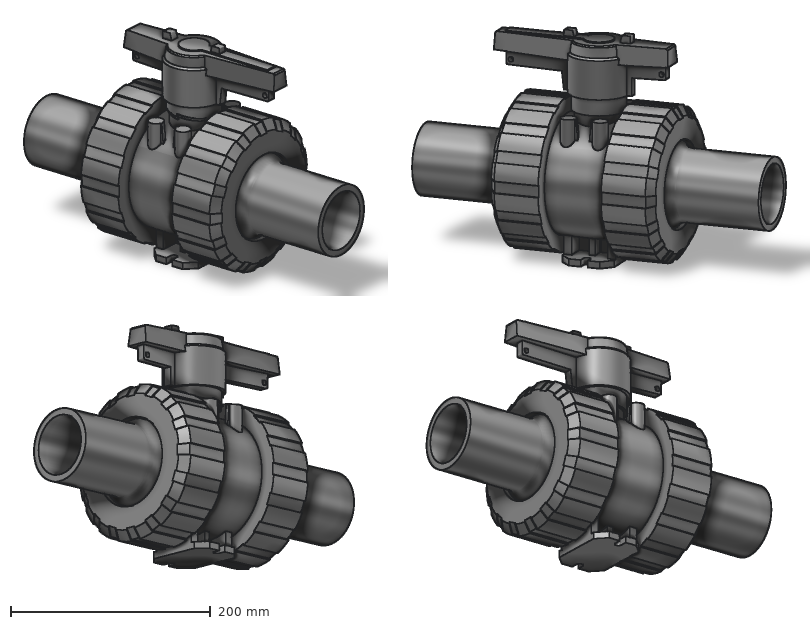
import cadquery as cq
import math


valve_length = 373.0
pipe_radius = 75.0 / 2
bore_radius = 61.5 / 2
collar_radius = 44.8
flare_radius = 16.8
flare_outer_x = 97.5

body_radius = 62.5
body_half_length = 63.5

nut_inner_x = 34.0
nut_outer_x = 88.5
nut_wall = 11.2
nut_ridge_radius = 160.0 / 2
nut_recess_radius = 78.5
nut_hole_radius = 46.0
nut_chamfer_length = 7.0
nut_chamfer_depth = 10.5
ridge_count = 16
recess_angle = 8.8
nut_shoulder_x = nut_outer_x - nut_wall

neck_radius = 25.0
neck_collar_radius = 28.0
neck_lip_radius = 26.5
neck_collar_bottom = 69.8
neck_top = 87.3
ramp_half_width = 24.2
ramp_rise = 3.5

post_radius = 8.2
post_x = 17.0
post_y = 40.0
post_top = 68.5
post_rib_width = 4.0
post_rib_top_reach = 9.0
post_rib_base_reach = 11.0
post_rib_base_z = 46.5

foot_bottom = -84.3
foot_thickness = 7.0
foot_half_x = 28.0
foot_half_y = 40.3
foot_corner = 11.2
foot_slot_width = 7.5
foot_slot_depth = 11.2
foot_top = foot_bottom + foot_thickness
outer_rib_width = 8.5
outer_rib_half_y = 25.5
center_rib_width = 6.5
center_rib_half_y = 18.5
foot_web_half_y = 5.0
foot_boss_radius = 6.53

hub_radius = 31.7
hub_shoulder_z = 127.5
drum_base_radius = 29.5
drum_base_z = 129.8
drum_top_radius = 28.0
drum_edge = 1.5
handle_top = 141.7

arm_bottom = 121.0
arm_end_bottom = 123.0
arm_left_bottom_x = -79.5
arm_left_top_x = -78.0
arm_right_bottom_x = 109.3
arm_right_top_x = 108.5
arm_center_half_width = 18.0
arm_left_half_width = 13.0
arm_right_half_width = 11.0
arm_side_draft = 2.5
arm_end_chamfer = 1.5

fin_thickness = 9.0
fin_left_x = -74.0
fin_right_x = 98.0
fin_end_bottom = 107.5
fin_root_bottom = 106.3
fin_end_round = 2.0
fin_root_left_x = -37.0
fin_root_right_x = 38.5
fin_foot_right_x = 36.0
fin_hole_diameter = 5.2
fin_hole_inset = 5.0
fin_hole_z = 113.0

lug_top = 149.5
lug_outer_x = 35.8
lug_inner_top_x = 26.5
lug_inner_base_x = 24.5
lug_width = 9.7
lug_round = 1.0
pointer_height = 1.3
pointer_disc_radius = 15.5
pointer_width = 13.5
pointer_end_x = 98.0


def cylinder_x(radius, x_start, x_end):
    return cq.Workplane("YZ").workplane(offset=x_start).circle(radius).extrude(x_end - x_start)


def cylinder_z(radius, z_start, z_end):
    return cq.Workplane("XY").workplane(offset=z_start).circle(radius).extrude(z_end - z_start)


def block(x_range, y_range, z_range):
    (x0, x1), (y0, y1), (z0, z1) = x_range, y_range, z_range
    return cq.Workplane("XY").box(x1 - x0, y1 - y0, z1 - z0, centered=False).translate((x0, y0, z0))


def both_ends(solid):
    """The +X part and its mirror image on the -X side."""
    return [solid, solid.mirror("YZ")]




def neck_ramps(core_radius, low_z):
    """Space outside core_radius under two ramps that fall by ramp_rise toward +X, on the -Y side."""
    floor_z = body_radius
    profile = [
        (-ramp_half_width, floor_z),
        (-ramp_half_width, low_z + ramp_rise),
        (0, low_z),
        (0, low_z + ramp_rise),
        (ramp_half_width, low_z),
        (ramp_half_width, floor_z),
    ]
    ramps = cq.Workplane("XZ").polyline(profile).close().extrude(2 * neck_collar_radius)
    core = cylinder_z(core_radius, floor_z, neck_top)
    return ramps.cut(core)


def make_neck():
    neck = cylinder_z(neck_radius, 0, neck_top)
    collar = cylinder_z(neck_collar_radius, neck_collar_bottom, neck_top)
    collar = collar.cut(neck_ramps(neck_lip_radius, neck_collar_bottom + ramp_rise))
    collar = collar.cut(neck_ramps(neck_radius, neck_collar_bottom))
    return neck.union(collar)


def make_post(side_x, side_y):
    """Round post with a small rib on the side that faces the neck."""
    post = cylinder_z(post_radius, 0, post_top).translate((side_x * post_x, side_y * post_y, 0))
    profile = [
        (side_x * post_x, post_top),
        (side_x * (post_x - post_rib_top_reach), post_top),
        (side_x * (post_x - post_rib_base_reach), post_rib_base_z),
        (side_x * post_x, post_rib_base_z),
    ]
    rib = cq.Workplane("XZ").polyline(profile).close().extrude(post_rib_width / 2, both=True)
    rib = rib.translate((0, side_y * post_y, 0))
    return post.union(rib)


def make_foot():
    plate = block((-foot_half_x, foot_half_x), (-foot_half_y, foot_half_y), (foot_bottom, foot_top))
    plate = plate.edges("|Z").chamfer(foot_corner)
    slot_end_y = foot_half_y - foot_slot_depth + foot_slot_width / 2
    slots = (
        cq.Workplane("XY")
        .workplane(offset=foot_bottom)
        .pushPoints([(0, foot_half_y), (0, -foot_half_y)])
        .slot2D(2 * (foot_half_y - slot_end_y) + foot_slot_width, foot_slot_width, 90)
        .extrude(foot_thickness)
    )
    foot = plate.cut(slots)
    rib_z = (foot_top, 0)
    half = center_rib_width / 2
    foot = foot.union(block((-half, half), (-center_rib_half_y, center_rib_half_y), rib_z))
    foot = foot.union(block((-foot_half_x, foot_half_x), (-foot_web_half_y, foot_web_half_y), rib_z))
    outer_rib = block(
        (foot_half_x - outer_rib_width, foot_half_x), (-outer_rib_half_y, outer_rib_half_y), rib_z
    )
    for rib in both_ends(outer_rib):
        foot = foot.union(rib)
    return foot.union(cylinder_z(foot_boss_radius, foot_top, 0))


def make_body():
    body = cylinder_x(body_radius, -body_half_length, body_half_length)
    body = body.union(make_neck()).union(make_foot())
    for side_x in (-1, 1):
        for side_y in (-1, 1):
            body = body.union(make_post(side_x, side_y))
    return body.cut(cylinder_x(bore_radius, -body_half_length, body_half_length))




def nut_ring(outer_radius, start_angle, sweep):
    """Chamfered ring sector around the flow axis, without the inside of the nut."""
    profile = [
        (nut_inner_x, nut_hole_radius),
        (nut_inner_x, outer_radius),
        (nut_outer_x - nut_chamfer_length, outer_radius),
        (nut_outer_x, outer_radius - nut_chamfer_depth),
        (nut_outer_x, nut_hole_radius),
    ]
    ring = cq.Workplane("XY").polyline(profile).close().revolve(sweep, (0, 0, 0), (1, 0, 0))
    return ring.rotate((0, 0, 0), (1, 0, 0), start_angle)


def make_nut():
    """Nut on the +X side, with grip ridges separated by shallow recesses."""
    nut = nut_ring(nut_recess_radius, 0, 360)
    pitch = 360 / ridge_count
    for index in range(ridge_count):
        start_angle = index * pitch + recess_angle / 2
        nut = nut.union(nut_ring(nut_ridge_radius, start_angle, pitch - recess_angle))
    return nut.cut(cylinder_x(body_radius, nut_inner_x, nut_shoulder_x))




def make_pipe_end():
    """Pipe on the +X side with a concave flare, a collar and a flange held by the nut."""
    flare_height = collar_radius - pipe_radius
    flare_center_y = pipe_radius + flare_radius
    flare_angle = math.acos(1 - flare_height / flare_radius)

    def flare_point(angle):
        return (
            flare_outer_x - flare_radius * math.sin(angle),
            flare_center_y - flare_radius * math.cos(angle),
        )

    return (
        cq.Workplane("XY")
        .moveTo(body_half_length, bore_radius)
        .lineTo(body_half_length, body_radius)
        .lineTo(nut_shoulder_x, body_radius)
        .lineTo(nut_shoulder_x, collar_radius)
        .lineTo(*flare_point(flare_angle))
        .threePointArc(flare_point(flare_angle / 2), flare_point(0))
        .lineTo(valve_length / 2, pipe_radius)
        .lineTo(valve_length / 2, bore_radius)
        .close()
        .revolve(360, (0, 0, 0), (1, 0, 0))
    )




def make_hub():
    profile = [
        (0, neck_top),
        (hub_radius, neck_top),
        (hub_radius, hub_shoulder_z),
        (drum_base_radius, drum_base_z),
        (drum_top_radius, handle_top - drum_edge),
        (drum_top_radius - drum_edge, handle_top),
        (0, handle_top),
    ]
    return cq.Workplane("XZ").polyline(profile).close().revolve(360, (0, 0, 0), (0, 1, 0))


def arm_outline(left_x, right_x, inset):
    left = arm_left_half_width - inset
    center = arm_center_half_width - inset
    right = arm_right_half_width - inset
    return [(left_x, -left), (0, -center), (right_x, -right), (right_x, right), (0, center), (left_x, left)]


def make_arm_underside():
    """Space below the arms, which rises from the handle axis toward each end."""
    profile = [
        (0, arm_bottom),
        (arm_left_bottom_x, arm_end_bottom),
        (arm_left_bottom_x, neck_top),
        (arm_right_bottom_x, neck_top),
        (arm_right_bottom_x, arm_end_bottom),
    ]
    return cq.Workplane("XZ").polyline(profile).close().extrude(arm_center_half_width, both=True)


def make_arms():
    arms = (
        cq.Workplane("XY")
        .workplane(offset=arm_bottom)
        .polyline(arm_outline(arm_left_bottom_x, arm_right_bottom_x, 0))
        .close()
        .workplane(offset=handle_top - arm_bottom)
        .polyline(arm_outline(arm_left_top_x, arm_right_top_x, arm_side_draft))
        .close()
        .loft(ruled=True)
    )
    arms = arms.faces(">Z").edges("|Y").chamfer(arm_end_chamfer)
    return arms.cut(make_arm_underside())


def make_fin():
    profile = [
        (fin_left_x, arm_end_bottom),
        (fin_left_x, fin_end_bottom),
        (fin_root_left_x, fin_root_bottom),
        (fin_root_left_x, neck_top),
        (fin_foot_right_x, neck_top),
        (fin_root_right_x, fin_root_bottom),
        (fin_right_x, fin_end_bottom),
        (fin_right_x, arm_end_bottom),
    ]
    hole_points = [
        (fin_left_x + fin_hole_inset, fin_hole_z),
        (fin_right_x - fin_hole_inset, fin_hole_z),
    ]
    fin = cq.Workplane("XZ").polyline(profile).close().extrude(fin_thickness / 2, both=True)
    fin = fin.faces("<X or >X").edges("|Y").edges("<Z").fillet(fin_end_round)
    holes = (
        cq.Workplane("XZ")
        .pushPoints(hole_points)
        .circle(fin_hole_diameter / 2)
        .extrude(fin_thickness / 2, both=True)
    )
    return fin.cut(holes)


def make_lug():
    """Lug on the +X arm, with its sloping face toward the handle axis."""
    profile = [
        (lug_inner_base_x, handle_top),
        (lug_inner_top_x, lug_top),
        (lug_outer_x, lug_top),
        (lug_outer_x, handle_top),
    ]
    lug = cq.Workplane("XZ").polyline(profile).close().extrude(lug_width / 2, both=True)
    return lug.faces(">Z").edges("|Y").fillet(lug_round)


def make_pointer():
    pointer_z = (handle_top, handle_top + pointer_height)
    bar = block((0, pointer_end_x), (-pointer_width / 2, pointer_width / 2), pointer_z)
    return bar.union(cylinder_z(pointer_disc_radius, *pointer_z))


def make_handle():
    handle = make_hub().union(make_arms()).union(make_fin()).union(make_pointer())
    for lug in both_ends(make_lug()):
        handle = handle.union(lug)
    return handle


body = make_body()
nuts = both_ends(make_nut())
pipe_ends = both_ends(make_pipe_end())
handle = make_handle()

result = cq.Compound.makeCompound(
    [body.val(), *[nut.val() for nut in nuts], *[pipe_end.val() for pipe_end in pipe_ends], handle.val()]
)